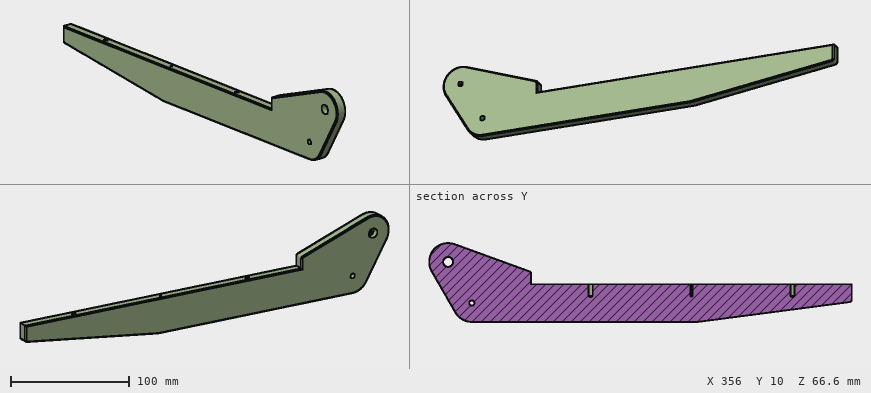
import cadquery as cq
import math

thickness = 10.0
edge_chamfer = 1.0
sharp_corner_radius = 2.5

arm_top = 32.0
tip_height = 15.0
tip_bottom = arm_top - tip_height
taper_length = 130.0

corner_radius = 16.0
pivot_spacing = 40.0
pivot_angle = math.radians(60)
lower_pivot_x = 320.0
lower_pivot_z = corner_radius
upper_pivot_x = lower_pivot_x + pivot_spacing * math.cos(pivot_angle)
upper_pivot_z = lower_pivot_z + pivot_spacing * math.sin(pivot_angle)
step_x = 270.0
head_slope = math.radians(20)

cross_hole_diameter = 4.2
counterbore_diameter = 8.2
counterbore_depth = 6.0

end_hole_diameter = 3.3
middle_hole_diameter = 1.5
top_hole_depth = 10.0
drill_point_angle = math.radians(118)
middle_hole_x = 135.0
top_hole_spacing = 85.0


def on_corner(centre_x, centre_z, angle):
    """Point on a head corner arc; the angle is measured from +X towards +Z."""
    return (
        centre_x + corner_radius * math.cos(angle),
        centre_z + corner_radius * math.sin(angle),
    )


def make_plate():
    """Outline extruded in Y, two sharp corners rounded, both side faces chamfered all round."""
    back_edge_normal = pivot_angle - math.pi / 2
    head_edge_normal = head_slope + math.pi / 2
    lower_mid_angle = (back_edge_normal - math.pi / 2) / 2
    upper_mid_angle = (back_edge_normal + head_edge_normal) / 2
    head_edge_end = on_corner(upper_pivot_x, upper_pivot_z, head_edge_normal)
    step_top = head_edge_end[1] - (head_edge_end[0] - step_x) * math.tan(head_slope)

    plate = (
        cq.Workplane("XZ")
        .moveTo(0, tip_bottom)
        .lineTo(taper_length, 0)
        .lineTo(lower_pivot_x, 0)
        .threePointArc(
            on_corner(lower_pivot_x, lower_pivot_z, lower_mid_angle),
            on_corner(lower_pivot_x, lower_pivot_z, back_edge_normal),
        )
        .lineTo(*on_corner(upper_pivot_x, upper_pivot_z, back_edge_normal))
        .threePointArc(
            on_corner(upper_pivot_x, upper_pivot_z, upper_mid_angle),
            head_edge_end,
        )
        .lineTo(step_x, step_top)
        .lineTo(step_x, arm_top)
        .lineTo(0, arm_top)
        .close()
        .extrude(thickness / 2, both=True)
    )
    for corner in [(step_x, 0, step_top), (0, 0, tip_bottom)]:
        nearest = cq.selectors.NearestToPointSelector(corner)
        plate = plate.edges("|Y").edges(nearest).fillet(sharp_corner_radius)
    return plate.faces("<Y or >Y").edges().chamfer(edge_chamfer)


def cross_hole(x, z, diameter, depth):
    """Cylinder sunk from the -Y face towards +Y."""
    start = cq.Vector(x, -thickness / 2, z)
    return cq.Workplane(cq.Solid.makeCylinder(diameter / 2, depth, start, cq.Vector(0, 1, 0)))


def top_hole(x, diameter):
    """Drilled hole with a conical end, sunk from the top face of the arm."""
    radius = diameter / 2
    point_length = radius / math.tan(drill_point_angle / 2)
    return (
        cq.Workplane("XZ", origin=(x, 0, arm_top))
        .lineTo(radius, 0)
        .lineTo(radius, -top_hole_depth)
        .lineTo(0, -top_hole_depth - point_length)
        .close()
        .revolve(360, (0, 0, 0), (0, 1, 0))
    )


result = make_plate()

for pivot_x, pivot_z in [(lower_pivot_x, lower_pivot_z), (upper_pivot_x, upper_pivot_z)]:
    result = result.cut(cross_hole(pivot_x, pivot_z, cross_hole_diameter, thickness))
result = result.cut(cross_hole(upper_pivot_x, upper_pivot_z, counterbore_diameter, counterbore_depth))

result = result.cut(top_hole(middle_hole_x, middle_hole_diameter))
for side in (-1, 1):
    result = result.cut(top_hole(middle_hole_x + side * top_hole_spacing, end_hole_diameter))